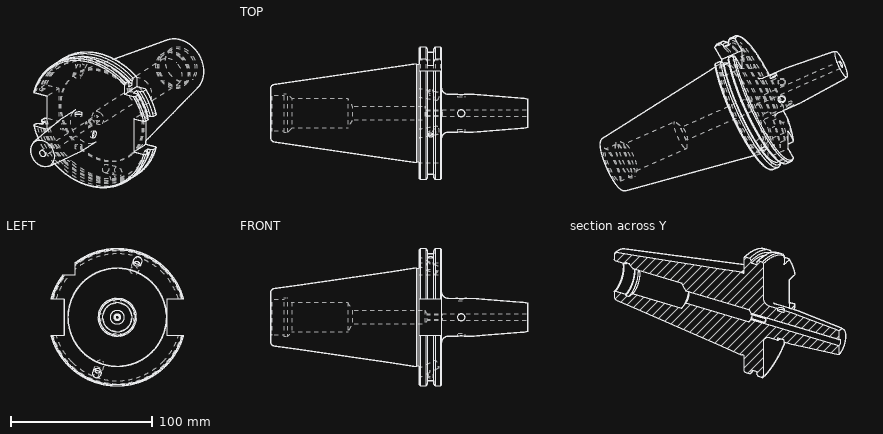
import cadquery as cq
import math

LENGTH = 181.8
GAUGE_X = 101.8
GAUGE_RADIUS = 34.9
TAPER_SLOPE = 7 / 48
TAPER_END_FILLET = 2.9
NECK_X = 103.0
NECK_DEPTH = 0.4
FLANGE_X = 104.9
FLANGE_WIDTH = 16.0
FLANGE_RADIUS = 48.7
FLANGE_CHAMFER = 1.0
FLANGE_END_X = FLANGE_X + FLANGE_WIDTH

GROOVE_X = FLANGE_X + 8.2
GROOVE_FLOOR_WIDTH = 4.2
GROOVE_RADIUS = 45.0
GROOVE_CHAMFER_WIDTH = 1.18
GROOVE_CHAMFER_DEPTH = 1.6

SLOT_WIDTH = 25.6
FRONT_SLOT_Y = -35.3
BACK_SLOT_Y = 37.6
NOTCH_CORNER = 30.0

NOSE_RADIUS = 13.5
NOSE_ROOT_FILLET = 4.7
NOSE_CONE_X = 143.5
NOSE_END_RADIUS = 10.5
NOSE_END_CHAMFER_LENGTH = 2.0
NOSE_END_CHAMFER_DEPTH = 0.5
BALANCE_HOLE_COUNT = 4
BALANCE_HOLE_X = 134.7
BALANCE_HOLE_DIAMETER = 5.0
BALANCE_HOLE_FLOOR = 11.6

ENTRY_RADIUS = 13.5
ENTRY_DEPTH = 1.0
PILOT_RADIUS = 12.5
PILOT_END_X = 9.5
UNDERCUT_RADIUS = 13.6
UNDERCUT_END_X = 12.0
THREAD_RADIUS = 10.4
THREAD_START_X = 15.0
THREAD_END_X = 54.5
COOLANT_RADIUS = 4.9
COOLANT_END_X = 109.0
TOOL_BORE_RADIUS = 2.4
DRILL_TIP_SLOPE = math.tan(math.radians(31))

STOP_SCREW_X = COOLANT_END_X + (COOLANT_RADIUS - TOOL_BORE_RADIUS) * DRILL_TIP_SLOPE
STOP_SCREW_LENGTH = 10.9
STOP_SCREW_HOLE_RADIUS = 1.5

CHANNEL_TILT = 20.0
CHANNEL_TURNS = [CHANNEL_TILT, CHANNEL_TILT + 180]
CHANNEL_DIAMETER = 6.0
CHANNEL_MOUTH_RADIUS = 42.0
CHANNEL_SLANT = 28.0
CHANNEL_LENGTH = 14.5
PASSAGE_DIAMETER = 3.3
PASSAGE_INNER_RADIUS = 36.4


def turned(cutter, angle):
    """Turn a shape about the X axis."""
    return cutter.rotate((0, 0, 0), (1, 0, 0), angle)


def revolve_profile(profile):
    """Revolve a closed profile of X and radius about the X axis."""
    return profile.close().revolve(360, (0, 0, 0), (1, 0, 0))


def radial_cylinder(x, diameter, inner, outer, angle):
    """A cylinder standing on the axis, between two distances from it."""
    cylinder = cq.Workplane("XY", origin=(x, 0, inner)).circle(diameter / 2).extrude(outer - inner)
    return turned(cylinder, angle)


def make_taper():
    small_radius = GAUGE_RADIUS - GAUGE_X * TAPER_SLOPE
    taper = revolve_profile(
        cq.Workplane("XY")
        .lineTo(0, small_radius)
        .lineTo(GAUGE_X, GAUGE_RADIUS)
        .lineTo(NECK_X, GAUGE_RADIUS)
        .lineTo(NECK_X + NECK_DEPTH, GAUGE_RADIUS - NECK_DEPTH)
        .lineTo(FLANGE_X, GAUGE_RADIUS - NECK_DEPTH)
        .lineTo(FLANGE_X, 0)
    )
    return taper.faces("<X").edges().fillet(TAPER_END_FILLET)


def make_flange():
    flange = (
        cq.Workplane("YZ", origin=(FLANGE_X, 0, 0))
        .circle(FLANGE_RADIUS)
        .extrude(FLANGE_WIDTH)
        .edges()
        .chamfer(FLANGE_CHAMFER)
    )
    return flange.cut(groove_cutter()).cut(slot_cutters()).cut(notch_cutter())


def groove_cutter():
    floor_half = GROOVE_FLOOR_WIDTH / 2
    mouth_half = floor_half + GROOVE_CHAMFER_WIDTH
    chamfer_radius = FLANGE_RADIUS - GROOVE_CHAMFER_DEPTH
    clear_radius = FLANGE_RADIUS + GROOVE_CHAMFER_DEPTH
    return revolve_profile(
        cq.Workplane("XY")
        .moveTo(GROOVE_X - floor_half, GROOVE_RADIUS)
        .lineTo(GROOVE_X - floor_half, chamfer_radius)
        .lineTo(GROOVE_X - mouth_half, FLANGE_RADIUS)
        .lineTo(GROOVE_X - mouth_half, clear_radius)
        .lineTo(GROOVE_X + mouth_half, clear_radius)
        .lineTo(GROOVE_X + mouth_half, FLANGE_RADIUS)
        .lineTo(GROOVE_X + floor_half, chamfer_radius)
        .lineTo(GROOVE_X + floor_half, GROOVE_RADIUS)
    )


def slot_cutters():
    not_centered = (False, False, True)
    slot = cq.Workplane("XY").box(FLANGE_WIDTH, FLANGE_RADIUS, SLOT_WIDTH, centered=not_centered)
    back_slot = slot.translate((FLANGE_X, BACK_SLOT_Y, 0))
    front_slot = slot.translate((FLANGE_X, FRONT_SLOT_Y - FLANGE_RADIUS, 0))
    return back_slot.union(front_slot)


def notch_cutter():
    notch = cq.Workplane("XY").box(FLANGE_WIDTH, FLANGE_RADIUS, FLANGE_RADIUS, centered=False)
    return notch.translate((FLANGE_X, NOTCH_CORNER, NOTCH_CORNER))


def make_nose():
    root_radius = NOSE_RADIUS + NOSE_ROOT_FILLET
    fillet_end_x = FLANGE_END_X + NOSE_ROOT_FILLET
    fillet_mid = NOSE_ROOT_FILLET * (1 - math.sqrt(0.5))
    nose = revolve_profile(
        cq.Workplane("XY")
        .moveTo(FLANGE_X, 0)
        .lineTo(FLANGE_X, root_radius)
        .lineTo(FLANGE_END_X, root_radius)
        .threePointArc((FLANGE_END_X + fillet_mid, NOSE_RADIUS + fillet_mid), (fillet_end_x, NOSE_RADIUS))
        .lineTo(NOSE_CONE_X, NOSE_RADIUS)
        .lineTo(LENGTH - NOSE_END_CHAMFER_LENGTH, NOSE_END_RADIUS)
        .lineTo(LENGTH, NOSE_END_RADIUS - NOSE_END_CHAMFER_DEPTH)
        .lineTo(LENGTH, 0)
    )
    for hole_number in range(BALANCE_HOLE_COUNT):
        angle = hole_number * 360 / BALANCE_HOLE_COUNT
        hole = radial_cylinder(
            BALANCE_HOLE_X, BALANCE_HOLE_DIAMETER, BALANCE_HOLE_FLOOR, NOSE_RADIUS, angle
        )
        nose = nose.cut(hole)
    return nose


def central_bore():
    thread_tip_x = THREAD_END_X + (THREAD_RADIUS - COOLANT_RADIUS) * DRILL_TIP_SLOPE
    return revolve_profile(
        cq.Workplane("XY")
        .lineTo(0, ENTRY_RADIUS)
        .lineTo(ENTRY_DEPTH, PILOT_RADIUS)
        .lineTo(PILOT_END_X, PILOT_RADIUS)
        .lineTo(PILOT_END_X, UNDERCUT_RADIUS)
        .lineTo(UNDERCUT_END_X, UNDERCUT_RADIUS)
        .lineTo(THREAD_START_X, THREAD_RADIUS)
        .lineTo(THREAD_END_X, THREAD_RADIUS)
        .lineTo(thread_tip_x, COOLANT_RADIUS)
        .lineTo(COOLANT_END_X, COOLANT_RADIUS)
        .lineTo(STOP_SCREW_X, TOOL_BORE_RADIUS)
        .lineTo(LENGTH, TOOL_BORE_RADIUS)
        .lineTo(LENGTH, 0)
    )


def channel_cutter(angle):
    """A slanted hole from the flange face towards the axis, and the radial hole that meets it."""
    slant = math.radians(CHANNEL_SLANT)
    start = cq.Vector(FLANGE_X, 0, CHANNEL_MOUTH_RADIUS)
    direction = cq.Vector(math.cos(slant), 0, -math.sin(slant))
    overrun = CHANNEL_DIAMETER
    slanted = cq.Workplane(
        cq.Solid.makeCylinder(
            CHANNEL_DIAMETER / 2, CHANNEL_LENGTH + overrun, start - direction * overrun, direction
        )
    )
    passage = radial_cylinder(GROOVE_X, PASSAGE_DIAMETER, PASSAGE_INNER_RADIUS, FLANGE_RADIUS, 0)
    return turned(slanted.union(passage), angle)


def make_holder():
    body = make_taper().union(make_flange()).union(make_nose()).cut(central_bore())
    for angle in CHANNEL_TURNS:
        body = body.cut(channel_cutter(angle))
    return body


def make_stop_screw():
    return (
        cq.Workplane("YZ", origin=(STOP_SCREW_X, 0, 0))
        .circle(TOOL_BORE_RADIUS)
        .circle(STOP_SCREW_HOLE_RADIUS)
        .extrude(STOP_SCREW_LENGTH)
    )


holder = make_holder()
stop_screw = make_stop_screw()

result = cq.Compound.makeCompound([holder.val(), stop_screw.val()])